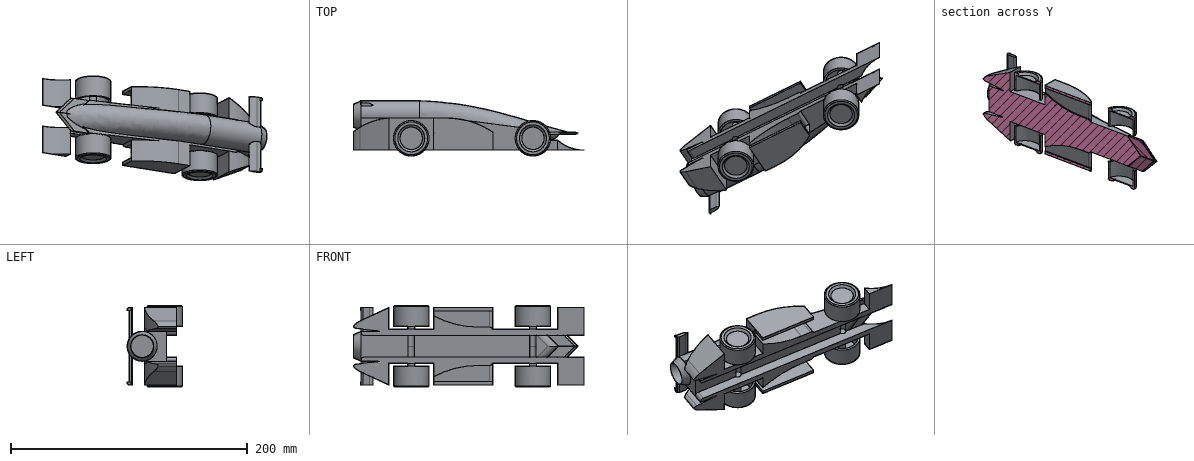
import cadquery as cq
import math


LENGTH = 195.0

BARREL_RADIUS = 12.7
BARREL_HEIGHT = 29.0
TAIL_X = 6.6
BARREL_END = 55.8
NOZZLE_RADIUS = 9.8
BORE_DIAMETER = 19.0
BORE_DEPTH = 50.7

FLOOR_HEIGHT = 8.4
CHANNEL_HALF_WIDTH = 9.2
CHASSIS_HALF_WIDTH = 14.5
SIDE_HALF_WIDTH = 32.8
DECK_HEIGHT = 27.1
DECK_BEND_X = 79.0
DECK_END_X = 169.6
RAIL_CORNER_RADIUS = 2.7

AXLE_HEIGHT = 10.0
AXLE_POSITIONS = (49.0, 151.7)
AXLE_DIAMETER = 6.0
WHEEL_DIAMETER = 30.0
WHEEL_INNER_Z = 16.8
WHEEL_OUTER_Z = 34.5
WHEEL_CAVITY_DIAMETER = 26.1
WHEEL_CAVITY_DEPTH = 14.6
DISH_RIM_DIAMETER = 22.8
DISH_FLOOR_DIAMETER = 19.0
DISH_DEPTH = 2.0
TYRE_CHAMFER_RADIAL = 1.2
TYRE_CHAMFER_AXIAL = 0.8

FIN_END = 30.0
FIN_TIP_HEIGHT = 15.5
FIN_TIP_Z = 16.8
FIN_SLOT_END = 22.2

POD_START = 67.9
POD_END = 117.8
POD_FRONT_HEIGHT = 15.2
POD_PLATE_THICKNESS = 3.0
TUNNEL_ROOF = 14.2
TUNNEL_REAR_Z = 25.7
TUNNEL_FRONT_Z = 16.2
TUNNEL_BEND_X = 105.7
LIP_LENGTH = 3.0
LIP_RISE = 0.8

FRONT_FIN_START = 172.5

WING_BOTTOM = 13.0
WING_TOP = 15.5
WING_ROOT_X = 173.4
WING_SHOULDER_X = 187.2
WING_TIP_X = 190.0
HOLLOW_START_X = 164.4
HOLLOW_MIDDLE = (170.0, 9.8)
SWEEP_ANGLE = math.radians(45)
WING_GAP = 0.2

REAR_WING_BOTTOM = 37.0
REAR_WING_TOP = 40.0
REAR_WING_START = 6.5
REAR_WING_END = 16.8
FLAP_HEIGHT = 42.0
FLAP_WIDTH = 2.7

NOSE_STATIONS = (
    (BARREL_END, BARREL_HEIGHT + BARREL_RADIUS, 12.5),
    (76.6, 40.4, 12.5),
    (103.7, 36.3, 12.5),
    (136.5, 28.0, 12.5),
    (163.8, 20.0, 10.7),
    (180.0, 15.6, 6.8),
)
NOSE_OVERLAP = 0.8


def arc_to_level(start, level_point):
    """Middle point of the arc from start that runs out horizontally at level_point."""
    run = level_point[0] - start[0]
    drop = start[1] - level_point[1]
    radius = (run**2 + drop**2) / (2 * drop)
    half_angle = math.asin(run / radius) / 2
    return (
        level_point[0] - radius * math.sin(half_angle),
        level_point[1] + radius * (1 - math.cos(half_angle)),
    )


def both_sides(solid):
    """The solid of the +Z side together with its mirror image."""
    return solid.union(solid.mirror("XY"))


def side_profile():
    """Workplane seen from the side (X, Y)."""
    return cq.Workplane("XY")


def plan():
    """Workplane seen in plan (X, Z); extrude by a negative length to go up."""
    return cq.Workplane("XZ")


def swept_profile():
    """Workplane square to the 45 degree sweep of the nose on the +Z side."""
    return cq.Workplane(cq.Plane(origin=(0, 0, 0), xDir=(1, 0, 1), normal=(-1, 0, 1)))


def on_sweep(x, y):
    """Point of a swept profile whose line crosses the centre plane at x."""
    return (x * math.cos(SWEEP_ANGLE), y)


def slice_of(solid, inner_z, outer_z):
    """The part of the solid between two distances from the centre plane."""
    slab = (
        cq.Workplane("XY", origin=(0, 0, inner_z))
        .rect(4 * LENGTH, 4 * LENGTH)
        .extrude(outer_z - inner_z)
    )
    return solid.intersect(slab)


def make_barrel():
    cone = cq.Solid.makeCone(
        NOZZLE_RADIUS, BARREL_RADIUS, TAIL_X,
        cq.Vector(0, BARREL_HEIGHT, 0), cq.Vector(1, 0, 0),
    )
    tube = (
        cq.Workplane("YZ", origin=(TAIL_X, BARREL_HEIGHT, 0))
        .circle(BARREL_RADIUS)
        .extrude(BARREL_END - TAIL_X)
    )
    return tube.union(cq.Workplane(cone))


def deck_level(x):
    """Height of the chassis deck at x: flat, then sloping straight to the wing top."""
    if x <= DECK_BEND_X:
        return DECK_HEIGHT
    slope = (DECK_HEIGHT - WING_TOP) / (DECK_END_X - DECK_BEND_X)
    return DECK_HEIGHT - slope * (x - DECK_BEND_X)


def nose_hollow(top):
    """Swept hollow under the nose on the +Z side, open to the front and reaching up to top."""
    front_x = 1.5 * LENGTH
    profile = (
        swept_profile()
        .moveTo(*on_sweep(HOLLOW_START_X, FLOOR_HEIGHT))
        .threePointArc(on_sweep(*HOLLOW_MIDDLE), on_sweep(WING_ROOT_X, WING_BOTTOM))
        .lineTo(*on_sweep(WING_ROOT_X, top))
        .lineTo(*on_sweep(front_x, top))
        .lineTo(*on_sweep(front_x, FLOOR_HEIGHT))
        .close()
    )
    return slice_of(profile.extrude(LENGTH, both=True), 0, SIDE_HALF_WIDTH)


def make_nose():
    wires = []
    for x, crest, half_width in NOSE_STATIONS:
        base = deck_level(x)
        if x > BARREL_END:
            base -= NOSE_OVERLAP
        section = (
            cq.Workplane("YZ", origin=(x, 0, 0))
            .moveTo(base, -half_width)
            .threePointArc((crest, 0), (base, half_width))
            .close()
        )
        wires.append(section.wires().val())
    seat = nose_hollow(WING_TOP)
    return cq.Workplane(cq.Solid.makeLoft(wires)).cut(seat).cut(seat.mirror("XY"))


def make_chassis():
    deck = (
        side_profile()
        .moveTo(TAIL_X, FLOOR_HEIGHT)
        .lineTo(TAIL_X, DECK_HEIGHT)
        .lineTo(DECK_BEND_X, DECK_HEIGHT)
        .lineTo(DECK_END_X, WING_TOP)
        .lineTo(WING_SHOULDER_X, WING_TOP)
        .lineTo(WING_SHOULDER_X, FLOOR_HEIGHT)
        .close()
        .extrude(CHASSIS_HALF_WIDTH)
    )
    rail = (
        plan()
        .moveTo(TAIL_X, CHANNEL_HALF_WIDTH)
        .lineTo(FRONT_FIN_START, CHANNEL_HALF_WIDTH)
        .lineTo(FRONT_FIN_START, CHASSIS_HALF_WIDTH)
        .lineTo(TAIL_X, CHASSIS_HALF_WIDTH)
        .close()
        .extrude(-FLOOR_HEIGHT)
        .edges("|Y and <X and <Z")
        .fillet(RAIL_CORNER_RADIUS)
    )
    side_slot = (
        plan()
        .moveTo(0, BARREL_RADIUS)
        .lineTo(FIN_SLOT_END, BARREL_RADIUS)
        .lineTo(FIN_SLOT_END, CHASSIS_HALF_WIDTH)
        .lineTo(0, CHASSIS_HALF_WIDTH)
        .close()
        .extrude(-DECK_HEIGHT)
    )
    return both_sides(deck.cut(nose_hollow(LENGTH)).union(rail).cut(side_slot))


def make_rear_fin():
    outline = (
        plan()
        .moveTo(FIN_END, SIDE_HALF_WIDTH)
        .lineTo(5.8, 21.5)
        .threePointArc((2.1, 19.1), (0, FIN_TIP_Z))
        .threePointArc((1.0, 15.6), (3.0, 15.0))
        .lineTo(FIN_SLOT_END, BARREL_RADIUS)
        .lineTo(FIN_END, BARREL_RADIUS)
        .close()
        .extrude(-DECK_HEIGHT)
    )
    crest_middle = (10.7, 22.0)
    profile = (
        side_profile()
        .lineTo(0, FIN_TIP_HEIGHT)
        .threePointArc(crest_middle, (FIN_END, DECK_HEIGHT))
        .lineTo(FIN_END, 0)
        .close()
        .extrude(SIDE_HALF_WIDTH)
    )
    return outline.intersect(profile)


def make_side_pod():
    crest = arc_to_level((0, DECK_HEIGHT - POD_FRONT_HEIGHT), (POD_END - DECK_BEND_X, 0))
    crest_middle = (POD_END - crest[0], DECK_HEIGHT - crest[1])
    pod = (
        side_profile()
        .moveTo(POD_START, 0)
        .lineTo(POD_START, DECK_HEIGHT)
        .lineTo(DECK_BEND_X, DECK_HEIGHT)
        .threePointArc(crest_middle, (POD_END, POD_FRONT_HEIGHT))
        .lineTo(POD_END, 0)
        .close()
        .extrude(SIDE_HALF_WIDTH)
        .cut(side_profile().box(2 * LENGTH, 2 * LENGTH, 2 * BARREL_RADIUS))
    )
    lip_start = POD_END - LIP_LENGTH
    tunnel_plan = (
        plan()
        .moveTo(POD_START, SIDE_HALF_WIDTH - POD_PLATE_THICKNESS)
        .lineTo(POD_START, TUNNEL_REAR_Z)
        .threePointArc(
            arc_to_level((POD_START, TUNNEL_REAR_Z), (TUNNEL_BEND_X, TUNNEL_FRONT_Z)),
            (TUNNEL_BEND_X, TUNNEL_FRONT_Z),
        )
        .lineTo(lip_start, TUNNEL_FRONT_Z)
        .threePointArc((lip_start + 1.8, TUNNEL_FRONT_Z - 0.5), (POD_END, CHASSIS_HALF_WIDTH))
        .lineTo(POD_END, SIDE_HALF_WIDTH - POD_PLATE_THICKNESS)
        .close()
        .extrude(-DECK_HEIGHT)
    )
    tunnel_side = (
        side_profile()
        .moveTo(POD_START, 0)
        .lineTo(POD_START, TUNNEL_ROOF)
        .lineTo(lip_start, TUNNEL_ROOF)
        .threePointArc((lip_start + 1.5, TUNNEL_ROOF + 0.2), (POD_END, TUNNEL_ROOF + LIP_RISE))
        .lineTo(POD_END, 0)
        .close()
        .extrude(SIDE_HALF_WIDTH)
    )
    return pod.cut(tunnel_plan.intersect(tunnel_side))


def make_front_fin():
    ramp_middle = arc_to_level((FRONT_FIN_START, FLOOR_HEIGHT), (LENGTH, 0))
    return (
        side_profile()
        .workplane(offset=CHANNEL_HALF_WIDTH)
        .moveTo(FRONT_FIN_START, 0)
        .lineTo(FRONT_FIN_START, FLOOR_HEIGHT)
        .threePointArc(ramp_middle, (LENGTH, 0))
        .close()
        .extrude(SIDE_HALF_WIDTH - CHANNEL_HALF_WIDTH)
    )


def make_rear_wing():
    aerofoil = (
        side_profile()
        .workplane(offset=-SIDE_HALF_WIDTH)
        .moveTo(8.0, REAR_WING_BOTTOM)
        .lineTo(13.8, REAR_WING_BOTTOM)
        .lineTo(REAR_WING_END, 37.8)
        .threePointArc((14.0, 39.4), (10.1, REAR_WING_TOP))
        .lineTo(REAR_WING_START, REAR_WING_TOP)
        .lineTo(REAR_WING_START, 38.0)
        .close()
        .extrude(2 * SIDE_HALF_WIDTH)
    )
    flap = (
        side_profile()
        .workplane(offset=SIDE_HALF_WIDTH - FLAP_WIDTH)
        .moveTo(6.0, 38.6)
        .lineTo(6.0, FLAP_HEIGHT)
        .lineTo(8.2, 39.0)
        .lineTo(8.2, REAR_WING_BOTTOM)
        .close()
        .extrude(FLAP_WIDTH)
    )
    flap_outline = (
        cq.Workplane("YZ")
        .moveTo(REAR_WING_BOTTOM, SIDE_HALF_WIDTH - FLAP_WIDTH)
        .lineTo(FLAP_HEIGHT, SIDE_HALF_WIDTH - FLAP_WIDTH)
        .threePointArc((41.1, 32.2), (39.8, SIDE_HALF_WIDTH))
        .lineTo(REAR_WING_BOTTOM, SIDE_HALF_WIDTH)
        .close()
        .extrude(REAR_WING_END)
    )
    return aerofoil.union(both_sides(flap.intersect(flap_outline)))


def make_body():
    body = make_chassis().union(make_nose()).union(make_barrel())
    for side_part in (make_rear_fin(), make_side_pod(), make_front_fin()):
        body = body.union(both_sides(side_part))
    body = body.union(make_rear_wing())
    bore = (
        cq.Workplane("YZ", origin=(0, BARREL_HEIGHT, 0))
        .circle(BORE_DIAMETER / 2)
        .extrude(BORE_DEPTH)
    )
    axle_bores = (
        side_profile()
        .pushPoints([(x, AXLE_HEIGHT) for x in AXLE_POSITIONS])
        .circle(AXLE_DIAMETER / 2)
        .extrude(CHASSIS_HALF_WIDTH, both=True)
    )
    return body.cut(bore).cut(axle_bores)


def make_front_wing(side):
    """One swept half of the front wing, with a pointed leading edge."""
    profile = (
        swept_profile()
        .moveTo(*on_sweep(WING_ROOT_X, WING_BOTTOM))
        .lineTo(*on_sweep(WING_SHOULDER_X, WING_BOTTOM))
        .lineTo(*on_sweep(WING_TIP_X, (WING_BOTTOM + WING_TOP) / 2))
        .lineTo(*on_sweep(WING_SHOULDER_X, WING_TOP))
        .lineTo(*on_sweep(WING_ROOT_X, WING_TOP))
        .close()
    )
    wing = slice_of(profile.extrude(LENGTH, both=True), WING_GAP / 2, CHASSIS_HALF_WIDTH)
    return wing if side > 0 else wing.mirror("XY")


def make_wheel(x, side):
    """Hollow wheel with a dished outer face and a spindle reaching into the axle bore."""
    radius = WHEEL_DIAMETER / 2
    dish_z = WHEEL_OUTER_Z - DISH_DEPTH
    cavity_end = WHEEL_INNER_Z + WHEEL_CAVITY_DEPTH
    half_section = (
        cq.Workplane("XZ")
        .moveTo(0, CHANNEL_HALF_WIDTH)
        .lineTo(AXLE_DIAMETER / 2, CHANNEL_HALF_WIDTH)
        .lineTo(AXLE_DIAMETER / 2, cavity_end)
        .lineTo(WHEEL_CAVITY_DIAMETER / 2, cavity_end)
        .lineTo(WHEEL_CAVITY_DIAMETER / 2, WHEEL_INNER_Z)
        .lineTo(radius, WHEEL_INNER_Z)
        .lineTo(radius, WHEEL_OUTER_Z - TYRE_CHAMFER_AXIAL)
        .lineTo(radius - TYRE_CHAMFER_RADIAL, WHEEL_OUTER_Z)
        .lineTo(DISH_RIM_DIAMETER / 2, WHEEL_OUTER_Z)
        .lineTo(DISH_FLOOR_DIAMETER / 2, dish_z)
        .lineTo(0, dish_z)
        .close()
    )
    wheel = half_section.revolve(360, (0, 0, 0), (0, 1, 0))
    if side < 0:
        wheel = wheel.mirror("XY")
    return wheel.translate((x, AXLE_HEIGHT, 0))


SIDES = (1, -1)
body = make_body()
front_wings = [make_front_wing(side) for side in SIDES]
wheels = [make_wheel(x, side) for x in AXLE_POSITIONS for side in SIDES]

result = cq.Compound.makeCompound(
    [body.val()] + [wing.val() for wing in front_wings] + [wheel.val() for wheel in wheels]
)